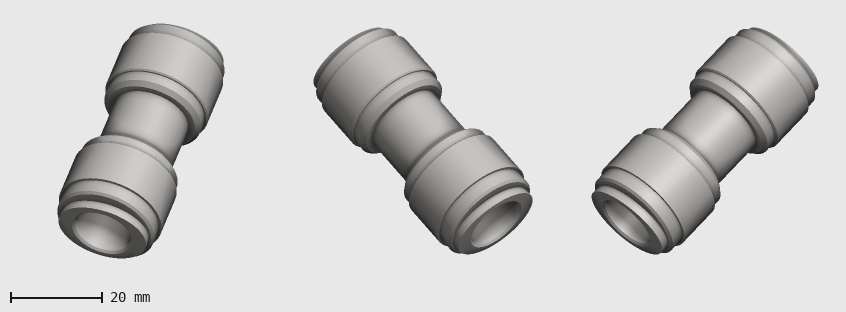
import cadquery as cq

length = 53.2
half_length = length / 2

collet_height = 2.1
collar_start = 5.65
collar_end = 16.2
body_end = 19.65

stem_radius = 8.55
body_radius = 11.1
collar_radius = 11.8
outer_chamfer = 0.55
inner_chamfer = 1.0
collar_chamfer = 0.3

collet_radius_x = 10.05
collet_radius_z = 8.15
end_face_drop = 0.2

socket_radius = 6.4
socket_depth = 18.1
socket_chamfer = 0.5
passage_radius = 4.8


def revolve_profile(points):
    """Revolve (radius, y) points about the Y axis."""
    return cq.Workplane("XY").polyline(points).close().revolve(360, (0, 0, 0), (0, 1, 0))


def make_head():
    """Stepped head at the +Y end."""
    front = half_length - collet_height
    back = half_length - body_end
    collar_front = half_length - collar_start
    collar_back = half_length - collar_end
    return revolve_profile([
        (0, back),
        (body_radius - inner_chamfer, back),
        (body_radius, back + inner_chamfer),
        (body_radius, collar_back),
        (collar_radius - collar_chamfer, collar_back),
        (collar_radius, collar_back + collar_chamfer),
        (collar_radius, collar_front),
        (body_radius, collar_front),
        (body_radius, front - outer_chamfer),
        (body_radius - outer_chamfer, front),
        (0, front),
    ])


def make_collet():
    """Oval collet rooted inside the head and trimmed by a cone that falls away from the socket rim."""
    oval = (
        cq.Workplane("XZ", origin=(0, half_length - collar_start, 0))
        .ellipse(collet_radius_x, collet_radius_z)
        .extrude(-collar_start)
    )
    cone_envelope = revolve_profile([
        (0, 0),
        (collet_radius_x, 0),
        (collet_radius_x, half_length - end_face_drop),
        (socket_radius + socket_chamfer, half_length),
        (0, half_length),
    ])
    return oval.intersect(cone_envelope)


def make_bore():
    """Half passage opening into a chamfered tube socket."""
    socket_floor = half_length - socket_depth
    return revolve_profile([
        (0, 0),
        (passage_radius, 0),
        (passage_radius, socket_floor),
        (socket_radius, socket_floor),
        (socket_radius, half_length - socket_chamfer),
        (socket_radius + socket_chamfer, half_length),
        (0, half_length),
    ])


def make_stem():
    """Plain tube joining the two heads, ending at the inner face of each."""
    stem_half_length = half_length - body_end
    return (
        cq.Workplane("XZ", origin=(0, stem_half_length, 0))
        .circle(stem_radius)
        .circle(passage_radius)
        .extrude(2 * stem_half_length)
    )


end_head = make_head().union(make_collet()).cut(make_bore())
result = make_stem().union(end_head).union(end_head.mirror("XZ"))